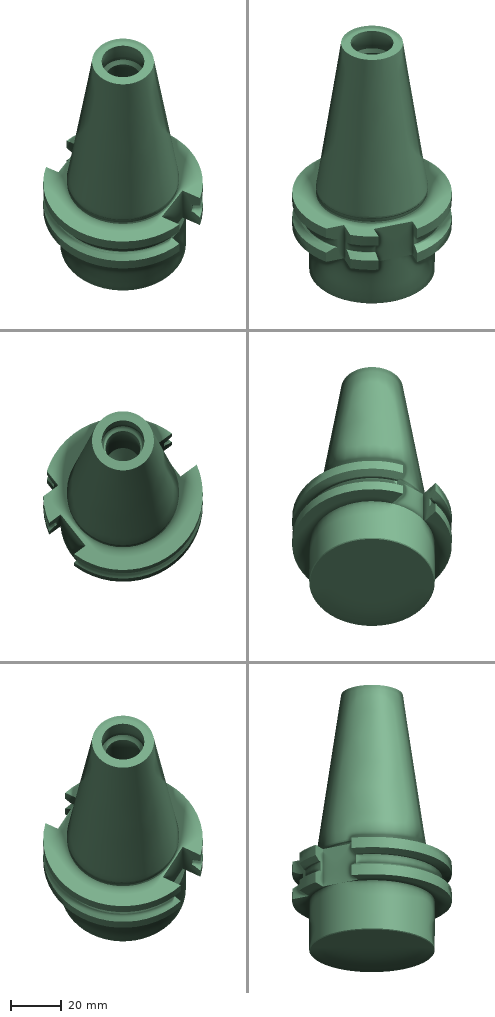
import cadquery as cq
import math

total_height = 108.2
base_height = 20.8
flange_thickness = 15.9
neck_height = 3.1
flange_top = base_height + flange_thickness
gauge_height = flange_top + neck_height

base_diameter = 50.0
base_chamfer = 0.3

flange_diameter = 63.5
groove_diameter = 56.1
groove_root_width = 4.0
groove_ledge_diameter = 58.0
groove_mouth_width = 7.1

gauge_diameter = 44.6
neck_diameter = 44.0
neck_ramp_height = 0.5
neck_land_height = 0.6
taper_ratio = 7 / 24
taper_top_diameter = gauge_diameter - (total_height - gauge_height) * taper_ratio

slot_width = 16.3
left_slot_floor = 25.0
right_slot_floor = 22.6
notch_corner = 18.4

bore_diameter = 17.0
bore_depth = 6.6
relief_diameter = 17.4
relief_depth = 8.4
drill_diameter = 14.0
seat_angle = 30
drill_depth = 32.5
drill_point_angle = 118


def revolve_profile(points):
    """Revolve (radius, height) points about the Z axis."""
    return cq.Workplane("XZ").polyline(points).close().revolve(360, (0, 0), (0, 1))


def make_body():
    groove_middle = base_height + flange_thickness / 2
    base_radius = base_diameter / 2
    flange_radius = flange_diameter / 2
    groove_radius = groove_diameter / 2
    ledge_radius = groove_ledge_diameter / 2
    neck_radius = neck_diameter / 2
    gauge_radius = gauge_diameter / 2
    land_bottom = gauge_height - neck_land_height
    return revolve_profile([
        (0, 0),
        (base_radius - base_chamfer, 0),
        (base_radius, base_chamfer),
        (base_radius, base_height),
        (flange_radius, base_height),
        (flange_radius, groove_middle - groove_mouth_width / 2),
        (ledge_radius, groove_middle - groove_root_width / 2),
        (groove_radius, groove_middle - groove_root_width / 2),
        (groove_radius, groove_middle + groove_root_width / 2),
        (ledge_radius, groove_middle + groove_root_width / 2),
        (flange_radius, groove_middle + groove_mouth_width / 2),
        (flange_radius, flange_top),
        (gauge_radius, flange_top),
        (neck_radius, flange_top + neck_ramp_height),
        (neck_radius, land_bottom - neck_ramp_height),
        (gauge_radius, land_bottom),
        (gauge_radius, gauge_height),
        (taper_top_diameter / 2, total_height),
        (0, total_height),
    ])


def make_bore():
    bore_radius = bore_diameter / 2
    relief_radius = relief_diameter / 2
    drill_radius = drill_diameter / 2
    relief_bottom = total_height - relief_depth
    seat_drop = (relief_radius - drill_radius) * math.tan(math.radians(seat_angle))
    drill_bottom = total_height - drill_depth
    point_drop = drill_radius / math.tan(math.radians(drill_point_angle / 2))
    return revolve_profile([
        (0, total_height),
        (bore_radius, total_height),
        (bore_radius, total_height - bore_depth),
        (relief_radius, total_height - bore_depth),
        (relief_radius, relief_bottom),
        (drill_radius, relief_bottom - seat_drop),
        (drill_radius, drill_bottom),
        (0, drill_bottom - point_drop),
    ])


def flange_cutter(x_inner, x_outer, y_low, y_high):
    """Block through the full flange thickness."""
    return cq.Workplane("XY").box(
        x_outer - x_inner, y_high - y_low, flange_thickness, centered=False
    ).translate((x_inner, y_low, base_height))


def make_flange_cuts():
    half_slot = slot_width / 2
    left_slot = flange_cutter(-flange_diameter, -left_slot_floor, -half_slot, half_slot)
    right_slot = flange_cutter(right_slot_floor, flange_diameter, -half_slot, half_slot)
    notch = flange_cutter(-flange_diameter, -notch_corner, notch_corner, flange_diameter)
    return [left_slot, right_slot, notch]


result = make_body().cut(make_bore())
for cutter in make_flange_cuts():
    result = result.cut(cutter)